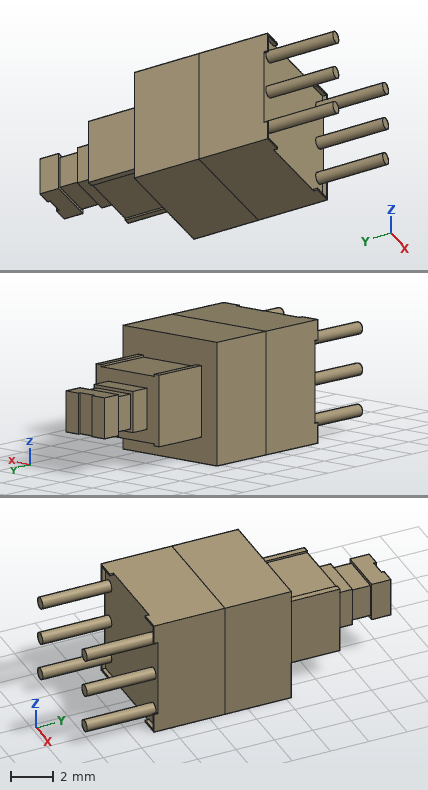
import cadquery as cq


body_size = 6.0
base_length = 3.5
housing_length = 3.47

lip_thickness = 0.1
lip_height = 0.2
lip_leg = 1.0

neck_width = 4.0
neck_height = 3.47
neck_length = 3.0
neck_rail_width = 0.32
neck_recess_depth = 0.1

plunger_width = 2.45
plunger_height = 2.0
plunger_length = 3.02
groove_length = plunger_length / 3
groove_depth = 0.15
notch_width = 0.86
notch_depth = 0.13

pin_diameter = 0.6
pin_length = 3.6
pin_column_spacing = 5.0
pin_row_spacing = 2.0

housing_start = base_length
neck_start = housing_start + housing_length
plunger_start = neck_start + neck_length
plunger_end = plunger_start + plunger_length


def block(width, height, start, length):
    """Box centred on X and Z that runs along +Y from the start station."""
    return cq.Workplane("XY").box(width, length, height).translate((0, start + length / 2, 0))


def make_base():
    """Square base with an L-shaped lip at each corner of its terminal face."""
    inner_size = body_size - 2 * lip_thickness
    gap_size = body_size - 2 * lip_leg
    lips = (
        block(body_size, body_size, -lip_height, lip_height)
        .cut(block(inner_size, inner_size, -lip_height, lip_height))
        .cut(block(gap_size, body_size, -lip_height, lip_height))
        .cut(block(body_size, gap_size, -lip_height, lip_height))
    )
    return block(body_size, body_size, 0, base_length).union(lips)


def make_housing():
    """Square housing with a guide neck recessed between rails, above and below."""
    recess_width = neck_width - 2 * neck_rail_width
    neck = block(neck_width, neck_height, neck_start, neck_length)
    recess = block(recess_width, neck_recess_depth, neck_start, neck_length)
    for side in (-1, 1):
        recess_z = side * (neck_height - neck_recess_depth) / 2
        neck = neck.cut(recess.translate((0, 0, recess_z)))
    return block(body_size, body_size, housing_start, housing_length).union(neck)


def make_plunger():
    """Rectangular plunger with a groove all round and a notch across its tip."""
    groove_start = plunger_start + (plunger_length - groove_length) / 2
    core_width = plunger_width - 2 * groove_depth
    core_height = plunger_height - 2 * groove_depth
    groove = block(plunger_width, plunger_height, groove_start, groove_length).cut(
        block(core_width, core_height, groove_start, groove_length)
    )
    notch = block(notch_width, plunger_height, plunger_end - notch_depth, notch_depth)
    return block(plunger_width, plunger_height, plunger_start, plunger_length).cut(groove).cut(notch)


def make_pin(x, z):
    """Round terminal pin running along -Y from the terminal face."""
    return cq.Workplane("XZ").center(x, z).circle(pin_diameter / 2).extrude(pin_length)


base = make_base()
housing = make_housing()
plunger = make_plunger()

pins = []
for column in (-0.5, 0.5):
    for row in (-1, 0, 1):
        pins.append(make_pin(column * pin_column_spacing, row * pin_row_spacing))

result = cq.Compound.makeCompound(
    [base.val(), housing.val(), plunger.val(), *[pin.val() for pin in pins]]
)